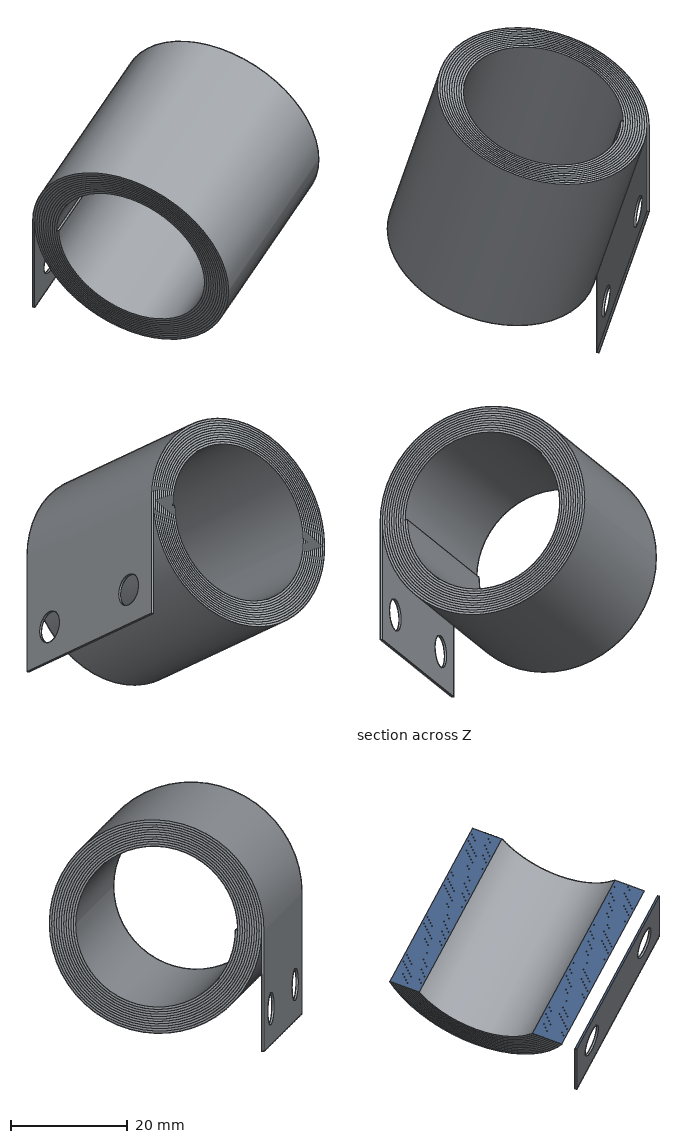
import cadquery as cq

strip_width = 35.0
coil_wall = 4.6
turn_gap = 0.002
turn_count = 11
coil_width = 37.47
overall_height = 39.75

hole_diameter = 5.55
hole_edge_offset = 6.4
hole_end_offset = 6.28

pitch = coil_wall / turn_count
strip_thickness = pitch - turn_gap
outer_radius = coil_width / 2
tab_length = overall_height - outer_radius


def half_turn(outline, start_x, end_x, side):
    """Add a semicircle between two points on the X axis; side is +1 above, -1 below."""
    middle_x = (start_x + end_x) / 2
    radius = abs(end_x - start_x) / 2
    return outline.threePointArc((middle_x, side * radius), (end_x, 0))


def strip_profile():
    """Strip edge in the XZ plane; each half turn is half a pitch smaller than the last."""
    outer_left = [-outer_radius + turn * pitch for turn in range(turn_count + 1)]
    outer_right = [outer_radius - turn * pitch for turn in range(turn_count)]
    inner_left = [x + strip_thickness for x in outer_left]
    inner_right = [x - strip_thickness for x in outer_right]

    outline = cq.Workplane("XZ").moveTo(outer_left[0], -tab_length).lineTo(outer_left[0], 0)
    for turn in range(turn_count):
        outline = half_turn(outline, outer_left[turn], outer_right[turn], 1)
        outline = half_turn(outline, outer_right[turn], outer_left[turn + 1], -1)
    outline = outline.lineTo(inner_left[-1], 0)
    for turn in reversed(range(turn_count)):
        outline = half_turn(outline, inner_left[turn + 1], inner_right[turn], -1)
        outline = half_turn(outline, inner_right[turn], inner_left[turn], 1)
    return outline.lineTo(inner_left[0], -tab_length).close()


def tab_holes():
    """Two round cutters that pass through the tab only."""
    hole_y = strip_width / 2 - hole_edge_offset
    hole_z = hole_end_offset - tab_length
    return (
        cq.Workplane("YZ", origin=(-outer_radius, 0, 0))
        .pushPoints([(-hole_y, hole_z), (hole_y, hole_z)])
        .circle(hole_diameter / 2)
        .extrude(strip_thickness)
    )


coil = strip_profile().extrude(strip_width / 2, both=True)
result = coil.cut(tab_holes())